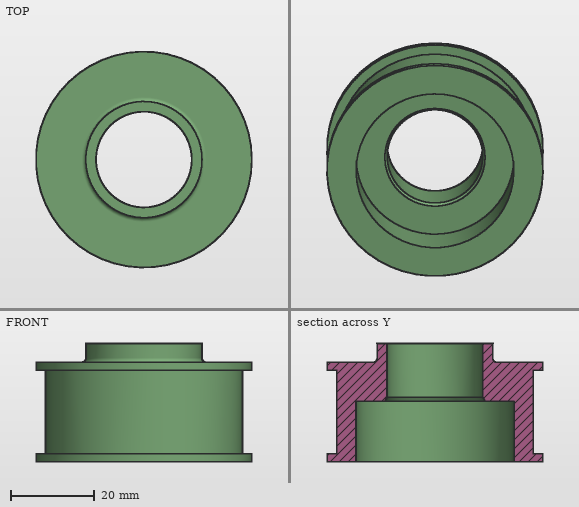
import cadquery as cq
import math

flange_diameter = 52.0
flange_thickness = 2.0
drum_diameter = 47.5
drum_length = 20.0
hub_diameter = 28.0
hub_height = 4.5
hub_fillet = 1.0
bore_diameter = 23.0
hub_bore_length = 13.0
bore_flare_height = 1.0
bore_flare_angle = 30.0
chamber_diameter = 37.95

upper_flange_base = flange_thickness + drum_length
hub_base = upper_flange_base + flange_thickness
total_height = hub_base + hub_height


def cylinder(diameter, base, height):
    """Upright cylinder on the Z axis, starting at the given height."""
    return cq.Workplane("XY").workplane(offset=base).circle(diameter / 2).extrude(height)


spool = cylinder(drum_diameter, 0, hub_base)
for flange_base in (0, upper_flange_base):
    spool = spool.union(cylinder(flange_diameter, flange_base, flange_thickness))

spool = spool.union(cylinder(hub_diameter, hub_base, hub_height))
fillet_outline = (
    cq.Workplane("XZ")
    .moveTo(hub_diameter / 2, hub_base)
    .lineTo(hub_diameter / 2 + hub_fillet, hub_base)
    .radiusArc((hub_diameter / 2, hub_base + hub_fillet), hub_fillet)
    .close()
)
spool = spool.union(fillet_outline.revolve(360, (0, 0, 0), (0, 1, 0)))

bore_radius = bore_diameter / 2
chamber_height = total_height - hub_bore_length - bore_flare_height
flare_width = bore_flare_height * math.tan(math.radians(bore_flare_angle))
bore_outline = (
    cq.Workplane("XZ")
    .lineTo(chamber_diameter / 2, 0)
    .lineTo(chamber_diameter / 2, chamber_height)
    .lineTo(bore_radius + flare_width, chamber_height)
    .lineTo(bore_radius, chamber_height + bore_flare_height)
    .lineTo(bore_radius, total_height)
    .lineTo(0, total_height)
    .close()
)
result = spool.cut(bore_outline.revolve(360, (0, 0, 0), (0, 1, 0)))